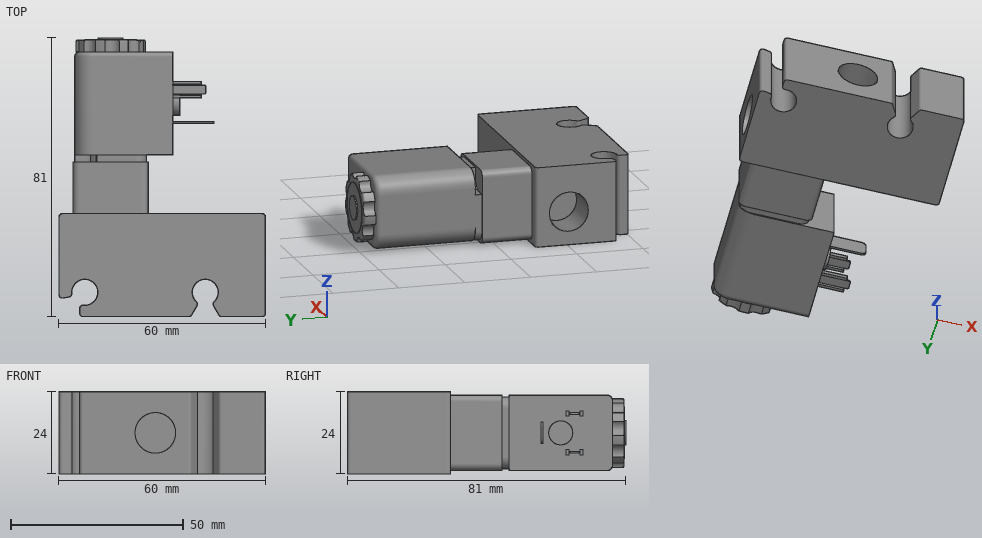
import cadquery as cq
import math

BLOCK_LENGTH = 60.0
BLOCK_WIDTH = 30.0
BLOCK_HEIGHT = 24.0
EDGE_RADIUS = 1.0

GROOVE_DIAMETER = 7.5
GROOVE_Y = 7.1
HOOK_GROOVE_X = 7.5
GROOVE_SPACING = 35.0
HOOK_WALL_X = 6.0
HOOK_LIP_Y = 5.2
HOOK_LIP_ANGLE = 10.0
FLARE_HALF_WIDTH = 4.22
FLARE_ANGLE = 30.0

PORT_DIAMETER = 11.8
PORT_DEPTH = 12.0
FRONT_PORT_X = 28.0
SIDE_PORT_Y = 20.0
SIDE_PORT_Z = -2.0

AXIS_X = 15.0
BASE_SIZE = 22.0
BASE_LENGTH = 15.0
BASE_RADIUS = 2.0

COLLAR_SIZE = 20.9
COLLAR_LENGTH = 2.0
COLLAR_RADIUS = 3.3
NOTCH_X = 11.0
NOTCH_Z = 4.0
NOTCH_RADIUS = 3.0
CORE_DIAMETER = 14.4

COIL_LEFT = AXIS_X - COLLAR_SIZE / 2
COIL_RIGHT = 33.1
COIL_LENGTH = 30.0
COIL_HEIGHT = 22.0
COIL_CORNER_RADIUS = 5.0
COIL_RIM_RADIUS = 1.5

CAP_DIAMETER = 20.2
CAP_LENGTH = 3.4
CAP_RIM_RADIUS = 0.5
SCALLOP_COUNT = 9
SCALLOP_DIAMETER = 5.0
SCALLOP_CENTRE_RADIUS = 11.25
SCALLOP_START_ANGLE = 2.5
TIP_DIAMETER = 7.2
TIP_LENGTH = 0.6
CROWN_DIAMETER = 15.0
CROWN_LENGTH = 0.2

BOSS_DIAMETER = 7.0
BOSS_LENGTH = 2.0

CONTACT_OFFSET_Y = 4.0
CONTACT_Z = 5.65
BLADE_LENGTH = 9.6
BLADE_WIDTH = 2.6
BLADE_THICKNESS = 0.5
BLADE_TIP_RADIUS = 0.5
PRONG_LENGTH = 8.3
PRONG_HEIGHT = 1.5
PRONG_THICKNESS = 0.8
PRONG_SPAN = 4.8

EARTH_OFFSET_Y = -5.5
EARTH_LENGTH = 12.0
EARTH_WIDTH = 6.3
EARTH_THICKNESS = 0.6
EARTH_TIP_RADIUS = 1.6

BASE_TOP = BLOCK_WIDTH + BASE_LENGTH
COIL_START = BASE_TOP + COLLAR_LENGTH
COIL_END = COIL_START + COIL_LENGTH
COIL_MID = COIL_START + COIL_LENGTH / 2
CAP_END = COIL_END + CAP_LENGTH


def box(x_range, y_range, z_range):
    """Box between the given limits on each axis."""
    sizes = [high - low for low, high in (x_range, y_range, z_range)]
    corner = (x_range[0], y_range[0], z_range[0])
    return cq.Workplane("XY").box(*sizes, centered=False).translate(corner)


def rod(start, direction, diameter, length):
    """Cylinder from a start point along a direction."""
    solid = cq.Solid.makeCylinder(diameter / 2, length, cq.Vector(*start), cq.Vector(*direction))
    return cq.Workplane("XY").newObject([solid])


def square_stage(size, start, length, corner_radius):
    """Square section on the solenoid axis with rounded long edges."""
    half = size / 2
    stage = box((AXIS_X - half, AXIS_X + half), (start, start + length), (-half, half))
    return stage.edges("|Y").fillet(corner_radius)


def through_block(outline):
    """Extrude a closed XY outline through the height of the block."""
    sketch = cq.Workplane("XY", origin=(0, 0, -BLOCK_HEIGHT / 2)).polyline(outline).close()
    return sketch.extrude(BLOCK_HEIGHT)


def groove_bore(x):
    return rod((x, GROOVE_Y, -BLOCK_HEIGHT / 2), (0, 0, 1), GROOVE_DIAMETER, BLOCK_HEIGHT)


def valve_block():
    half = BLOCK_HEIGHT / 2
    block = box((0, BLOCK_LENGTH), (0, BLOCK_WIDTH), (-half, half))

    lip_rise = HOOK_WALL_X * math.tan(math.radians(HOOK_LIP_ANGLE))
    hook_opening = through_block([
        (0, 0),
        (HOOK_WALL_X, 0),
        (HOOK_WALL_X, HOOK_LIP_Y + lip_rise),
        (0, HOOK_LIP_Y),
    ])

    keyhole_x = HOOK_GROOVE_X + GROOVE_SPACING
    throat_half_width = FLARE_HALF_WIDTH - GROOVE_Y * math.tan(math.radians(FLARE_ANGLE))
    mouth = through_block([
        (keyhole_x - FLARE_HALF_WIDTH, 0),
        (keyhole_x + FLARE_HALF_WIDTH, 0),
        (keyhole_x + throat_half_width, GROOVE_Y),
        (keyhole_x - throat_half_width, GROOVE_Y),
    ])

    block = block.cut(hook_opening).cut(mouth)
    block = block.cut(groove_bore(HOOK_GROOVE_X)).cut(groove_bore(keyhole_x))
    block = block.edges("|Z").fillet(EDGE_RADIUS)

    front_port = rod((FRONT_PORT_X, 0, 0), (0, 1, 0), PORT_DIAMETER, PORT_DEPTH)
    side_port = rod((0, SIDE_PORT_Y, SIDE_PORT_Z), (1, 0, 0), PORT_DIAMETER, PORT_DEPTH)
    return block.cut(front_port).cut(side_port)


def collar():
    """Thin stage under the coil, with a notch in its upper left corner that leaves the round core."""
    notch = box((0, NOTCH_X), (BASE_TOP, COIL_START), (NOTCH_Z, COLLAR_SIZE))
    notch = notch.edges("|Y and >X and <Z").fillet(NOTCH_RADIUS)
    stage = square_stage(COLLAR_SIZE, BASE_TOP, COLLAR_LENGTH, COLLAR_RADIUS).cut(notch)
    core = rod((AXIS_X, BASE_TOP, 0), (0, 1, 0), CORE_DIAMETER, COLLAR_LENGTH)
    return stage.union(core)


def coil():
    half = COIL_HEIGHT / 2
    body = box((COIL_LEFT, COIL_RIGHT), (COIL_START, COIL_END), (-half, half))
    body = body.edges("|Y and <X").fillet(COIL_CORNER_RADIUS)
    return body.faces(">Y").edges("not(>X)").fillet(COIL_RIM_RADIUS)


def cap():
    """Scalloped nut with a shallow crown and a short round tip."""
    nut = rod((AXIS_X, COIL_END, 0), (0, 1, 0), CAP_DIAMETER, CAP_LENGTH)
    nut = nut.faces(">Y").edges().fillet(CAP_RIM_RADIUS)
    for index in range(SCALLOP_COUNT):
        angle = math.radians(SCALLOP_START_ANGLE + index * 360 / SCALLOP_COUNT)
        x = AXIS_X + SCALLOP_CENTRE_RADIUS * math.sin(angle)
        z = SCALLOP_CENTRE_RADIUS * math.cos(angle)
        nut = nut.cut(rod((x, COIL_END, z), (0, 1, 0), SCALLOP_DIAMETER, CAP_LENGTH))
    nut = nut.union(rod((AXIS_X, CAP_END, 0), (0, 1, 0), CROWN_DIAMETER, CROWN_LENGTH))
    return nut.union(rod((AXIS_X, CAP_END, 0), (0, 1, 0), TIP_DIAMETER, TIP_LENGTH))


def connector_bar(length, y, width, z, height):
    """Bar that stands out from the coil along +X, centred on the given Y and Z."""
    return box(
        (COIL_RIGHT, COIL_RIGHT + length),
        (y - width / 2, y + width / 2),
        (z - height / 2, z + height / 2),
    )


def contact(z):
    """Flat blade with a prong along each of its sides."""
    y = COIL_MID + CONTACT_OFFSET_Y
    blade = connector_bar(BLADE_LENGTH, y, BLADE_WIDTH, z, BLADE_THICKNESS)
    parts = blade.edges("|Z and >X").fillet(BLADE_TIP_RADIUS)
    prong_shift = (PRONG_SPAN - PRONG_THICKNESS) / 2
    for side in (-1, 1):
        prong_y = y + side * prong_shift
        parts = parts.union(connector_bar(PRONG_LENGTH, prong_y, PRONG_THICKNESS, z, PRONG_HEIGHT))
    return parts


def earth_blade():
    y = COIL_MID + EARTH_OFFSET_Y
    blade = connector_bar(EARTH_LENGTH, y, EARTH_THICKNESS, 0, EARTH_WIDTH)
    return blade.edges("|Y and >X").fillet(EARTH_TIP_RADIUS)


result = valve_block()
result = result.union(square_stage(BASE_SIZE, BLOCK_WIDTH, BASE_LENGTH, BASE_RADIUS))
result = result.union(collar())
result = result.union(coil())
result = result.union(cap())
result = result.union(rod((COIL_RIGHT, COIL_MID, 0), (1, 0, 0), BOSS_DIAMETER, BOSS_LENGTH))
for contact_z in (-CONTACT_Z, CONTACT_Z):
    result = result.union(contact(contact_z))
result = result.union(earth_blade())